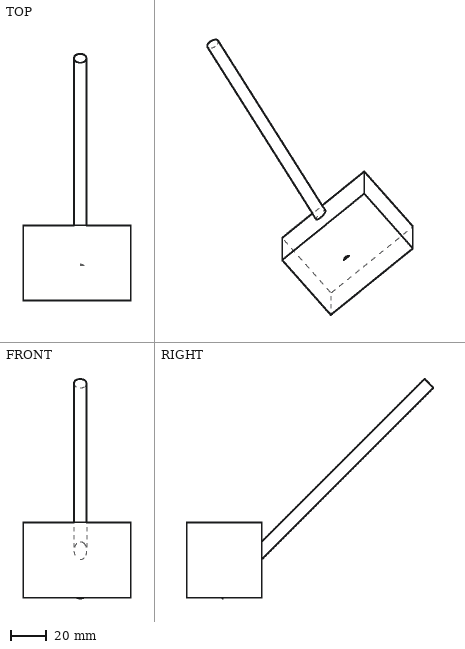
import cadquery as cq
import math

block_width = 60.4
block_depth = 42.3
block_height = 42.4

rod_diameter = 7.0
rod_tilt = 45.0
rod_offset_x = 1.8
rod_reach_y = 96.3
rod_poke_below = 0.4
rod_rise = 80.5

tilt = math.radians(rod_tilt)
rod_radius = rod_diameter / 2
rim_y = rod_radius * math.sin(tilt)
rim_z = rod_radius * math.cos(tilt)

tip_y = block_depth / 2 + rod_reach_y - rim_y
tip_z = block_height + rod_rise - rim_z
foot_z = rim_z - rod_poke_below
rod_length = (tip_z - foot_z) / math.sin(tilt)
foot_y = tip_y - rod_length * math.cos(tilt)

block = cq.Workplane("XY").box(block_width, block_depth, block_height, centered=(True, True, False))

rod = cq.Workplane(
    cq.Solid.makeCylinder(
        rod_radius,
        rod_length,
        cq.Vector(rod_offset_x, foot_y, foot_z),
        cq.Vector(0, math.cos(tilt), math.sin(tilt)),
    )
)

result = block.union(rod)